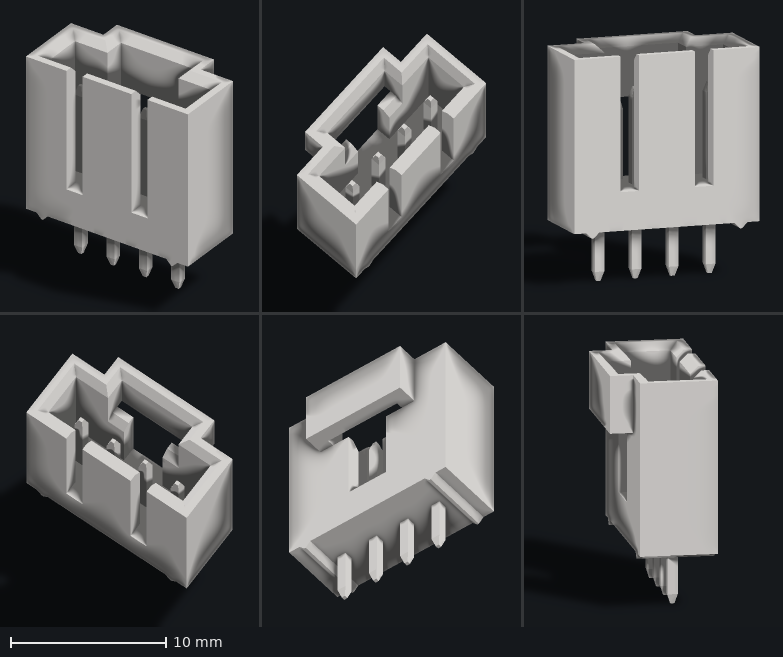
import cadquery as cq

pin_count = 4
pitch = 2.54
pin_width = 0.64
pin_tip_width = 0.26
pin_tip_length = 0.64
pin_tail = 3.68
pin_top_gap = 2.54

length = (pin_count + 1) * pitch
width = 5.08
height = 11.43
floor = 2.54
wall = 1.02
lead_in = 0.51

key_length = 7.62
key_depth = 1.52
key_height = 3.81
rear_slot_width = 3.05

front_slot_width = 1.27
front_slot_offset = pitch

ridge_height = 0.38
ridge_tip_width = 0.12
ridge_width = ridge_tip_width + 2 * ridge_height
ridge_offset = 2 * pitch

rear = width / 2
key_rear = rear + key_depth
key_base = height - key_height


def box(x_size, y_min, y_max, z_min, z_max, x_center=0):
    """Block centred on x_center and spanning the given Y and Z ranges."""
    block = cq.Workplane("XY").box(x_size, y_max - y_min, z_max - z_min, centered=(True, False, False))
    return block.translate((x_center, y_min, z_min))


def flared_pocket(x_size, y_min, y_max, z_min, z_max):
    """Pocket whose upper edges widen at 45 degrees up to z_max."""
    straight = box(x_size, y_min, y_max, z_min, z_max)
    flare = (
        cq.Workplane("XY")
        .workplane(offset=z_max - lead_in)
        .center(0, (y_min + y_max) / 2)
        .rect(x_size, y_max - y_min)
        .workplane(offset=lead_in)
        .rect(x_size + 2 * lead_in, y_max - y_min + 2 * lead_in)
        .loft(ruled=True)
    )
    return straight.union(flare)


def make_housing():
    """Open-topped shell with its keyed mouth and wall slots."""
    shell = box(length, -rear, rear, 0, height)
    shell = shell.union(box(key_length, rear, key_rear, key_base, height))

    cavity_length = length - 2 * wall
    key_opening = key_length - 2 * wall
    shell = shell.cut(flared_pocket(cavity_length, wall - rear, rear - wall, floor, height))
    shell = shell.cut(flared_pocket(key_opening, 0, key_rear - wall, key_base, height))

    lead_in_profile = [
        (rear - wall, key_base),
        (rear - wall + lead_in, key_base),
        (rear - wall, key_base - lead_in),
    ]
    rear_lead_in = cq.Workplane("YZ").polyline(lead_in_profile).close().extrude(key_opening / 2, both=True)
    shell = shell.cut(rear_lead_in)

    shell = shell.cut(box(rear_slot_width, 0, rear, floor, key_base))
    for side in (-1, 1):
        x_slot = side * front_slot_offset
        shell = shell.cut(box(front_slot_width, -rear, wall - rear, floor, height, x_slot))
    return shell


def make_ridge(x_center):
    """Blunt V-shaped ridge running the full width of the underside."""
    profile = [
        (x_center - ridge_width / 2, 0),
        (x_center + ridge_width / 2, 0),
        (x_center + ridge_tip_width / 2, -ridge_height),
        (x_center - ridge_tip_width / 2, -ridge_height),
    ]
    return cq.Workplane("XZ").polyline(profile).close().extrude(rear, both=True)


def make_tip(z_base, direction):
    """Pyramid frustum at a pin end, pointing up (1) or down (-1)."""
    return (
        cq.Workplane("XY")
        .workplane(offset=z_base)
        .rect(pin_width, pin_width)
        .workplane(offset=direction * pin_tip_length)
        .rect(pin_tip_width, pin_tip_width)
        .loft(ruled=True)
    )


def make_pin():
    """Square pin through the floor, tapered at both ends."""
    shank_bottom = pin_tip_length - pin_tail
    shank_top = height - pin_top_gap - pin_tip_length
    shank = box(pin_width, -pin_width / 2, pin_width / 2, shank_bottom, shank_top)
    return shank.union(make_tip(shank_bottom, -1)).union(make_tip(shank_top, 1))


result = make_housing()
for side in (-1, 1):
    result = result.union(make_ridge(side * ridge_offset))
pin = make_pin()
for index in range(pin_count):
    x_pin = (index - (pin_count - 1) / 2) * pitch
    result = result.union(pin.translate((x_pin, 0, 0)))